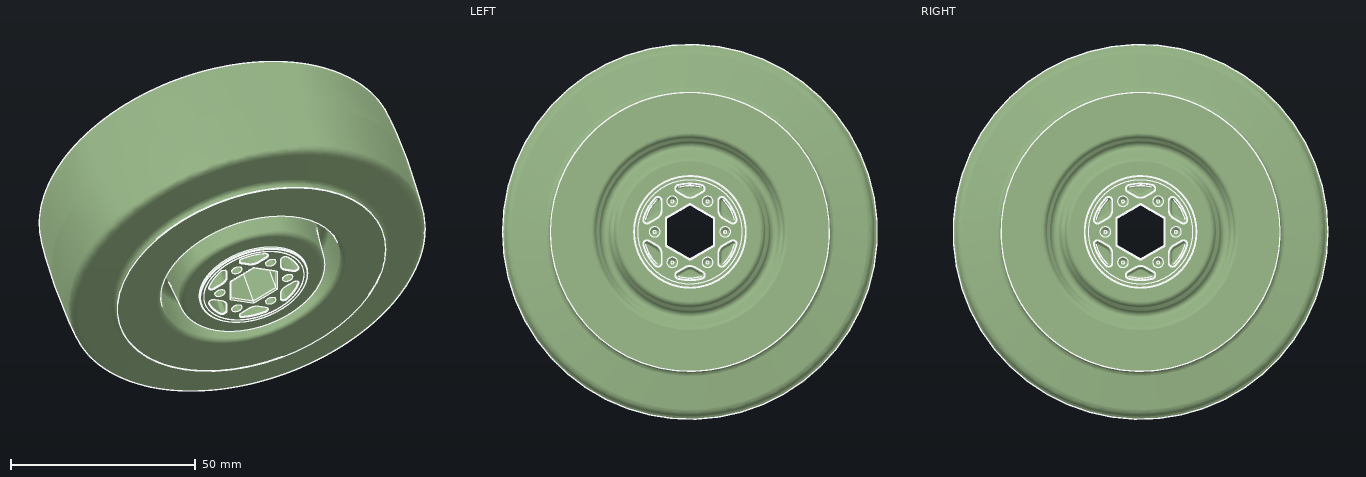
import cadquery as cq
import math

crown_radius = 50.8
shoulder_radius = 50.0
shoulder_half_width = 16.5
shoulder_round = 2.0
sidewall_half_width = 17.7

rim_radius = 37.8
rim_half_width = 19.2
rim_root_round = 1.4

groove_outer_radius = 25.4
groove_wall_depth = 10.2
groove_draft = 5.0
groove_mouth_round = 1.4

boss_radius = 20.4
boss_half_width = 20.7
boss_round = 1.5
cap_radius = 15.2
cap_half_width = 21.4
cap_chamfer = 0.2
cap_recess_radius = 14.1
cap_recess_depth = 0.1

bore_sides = 6
bore_flats = 12.7
bore_chamfer_width = 0.3
bore_chamfer_depth = 0.5

pocket_count = 6
pocket_outer_radius = 13.0
pocket_apex_radius = 8.9
pocket_apex_half_angle = 60.0
pocket_apex_round = 2.5
pocket_side_round = 0.9
pocket_depth = 10.2
pocket_draft = 3.0
pocket_floor_round = 0.6
pocket_chamfer = 0.2
pocket_chamfer_angle = 45.0
pin_circle_radius = 9.5
pin_mouth_radius = 1.4
pin_floor_radius = 0.4
pin_depth = 10.2

hub_face_x = cap_half_width - cap_recess_depth

tolerance = 0.01


def round_circle(body, x, radius, fillet):
    """Round the circular edge of the given radius centred on the axis at x."""

    def matches(edge):
        at_station = abs(edge.Center().x - x) < tolerance
        is_circle = edge.geomType() == "CIRCLE"
        return is_circle and at_station and abs(edge.radius() - radius) < tolerance

    return body.newObject(body.edges().filter(matches).vals()).fillet(fillet)


def half_wheel():
    """Half of the wheel on the +X side, turned from a half section in X and radius."""
    draft = math.radians(groove_draft)
    wall_end_x = rim_half_width - groove_wall_depth
    wall_end_outer = groove_outer_radius - groove_wall_depth * math.tan(draft)
    wall_end_inner = boss_radius + (boss_half_width - wall_end_x) * math.tan(draft)
    floor_round = (wall_end_outer - wall_end_inner) / 2 / math.cos(draft)
    floor_middle = (wall_end_outer + wall_end_inner) / 2
    floor_x = wall_end_x - floor_round * (1 - math.sin(draft))

    crown_drop = crown_radius - shoulder_radius
    tread_arc_radius = (shoulder_half_width**2 + crown_drop**2) / (2 * crown_drop)
    mid_x = shoulder_half_width / 2
    mid_r = crown_radius - tread_arc_radius + math.sqrt(tread_arc_radius**2 - mid_x**2)

    body = (
        cq.Workplane("XY")
        .moveTo(0, 0)
        .lineTo(0, crown_radius)
        .threePointArc((mid_x, mid_r), (shoulder_half_width, shoulder_radius))
        .lineTo(sidewall_half_width, rim_radius)
        .lineTo(rim_half_width, rim_radius)
        .lineTo(rim_half_width, groove_outer_radius)
        .lineTo(wall_end_x, wall_end_outer)
        .threePointArc((floor_x, floor_middle), (wall_end_x, wall_end_inner))
        .lineTo(boss_half_width, boss_radius)
        .lineTo(boss_half_width, cap_radius)
        .lineTo(cap_half_width - cap_chamfer, cap_radius)
        .lineTo(cap_half_width, cap_radius - cap_chamfer)
        .lineTo(cap_half_width, cap_recess_radius)
        .lineTo(hub_face_x, cap_recess_radius)
        .lineTo(hub_face_x, 0)
        .close()
        .revolve(360, (0, 0, 0), (1, 0, 0))
    )
    body = round_circle(body, shoulder_half_width, shoulder_radius, shoulder_round)
    body = round_circle(body, sidewall_half_width, rim_radius, rim_root_round)
    body = round_circle(body, rim_half_width, groove_outer_radius, groove_mouth_round)
    return round_circle(body, boss_half_width, boss_radius, boss_round)


def hub_face():
    """Plane on the cap recess floor, looking inward, with Y and Z as its axes."""
    return cq.Workplane(cq.Plane((hub_face_x, 0, 0), xDir=(0, -1, 0), normal=(-1, 0, 0)))


def pocket():
    """Drafted pocket above the bore: an arc on top and a V pointing at the axis."""
    rise = math.cos(math.radians(pocket_apex_half_angle))
    run = math.sin(math.radians(pocket_apex_half_angle))
    along = pocket_apex_radius * rise
    side = -along + math.sqrt(along**2 + pocket_outer_radius**2 - pocket_apex_radius**2)
    corner_y = side * run
    corner_z = pocket_apex_radius + side * rise
    outline = (
        cq.Sketch()
        .segment((0, pocket_apex_radius), (corner_y, corner_z))
        .arc((corner_y, corner_z), (0, pocket_outer_radius), (-corner_y, corner_z))
        .close()
        .assemble()
        .vertices("<Y")
        .fillet(pocket_apex_round)
        .reset()
        .vertices("<X or >X")
        .fillet(pocket_side_round)
    )
    cavity = hub_face().placeSketch(outline).extrude(pocket_depth, taper=pocket_draft)
    cavity = cavity.faces("<X").edges().fillet(pocket_floor_round)
    rim = cavity.faces(">X").wires().vals()
    mouth = hub_face().add(rim).toPending().offset2D(pocket_chamfer)
    mouth = mouth.extrude(pocket_chamfer, taper=pocket_chamfer_angle)
    return cavity.union(mouth)


def pin_hole():
    """Tapered blind pin hole on the +Y side of the bore."""
    return cq.Workplane(
        cq.Solid.makeCone(
            pin_mouth_radius,
            pin_floor_radius,
            pin_depth,
            pnt=cq.Vector(hub_face_x, pin_circle_radius, 0),
            dir=cq.Vector(-1, 0, 0),
        )
    )


def axle_bore():
    """Half of the hexagonal bore with its lead-in chamfer."""
    corner_ratio = 1 / math.cos(math.pi / bore_sides)

    def hexagon(plane, flats):
        return plane.transformed(rotate=(0, 0, 90)).polygon(bore_sides, flats * corner_ratio)

    bore = hexagon(hub_face(), bore_flats).extrude(hub_face_x)
    chamfer_angle = math.degrees(math.atan2(bore_chamfer_width, bore_chamfer_depth))
    mouth = hexagon(hub_face(), bore_flats + 2 * bore_chamfer_width)
    return bore.union(mouth.extrude(bore_chamfer_depth, taper=chamfer_angle))


half = half_wheel().cut(axle_bore())
face_cutters = (pocket(), pin_hole())
for i in range(pocket_count):
    angle = i * 360 / pocket_count
    for cutter in face_cutters:
        half = half.cut(cutter.rotate((0, 0, 0), (1, 0, 0), angle))

result = half.union(half.mirror("YZ"))